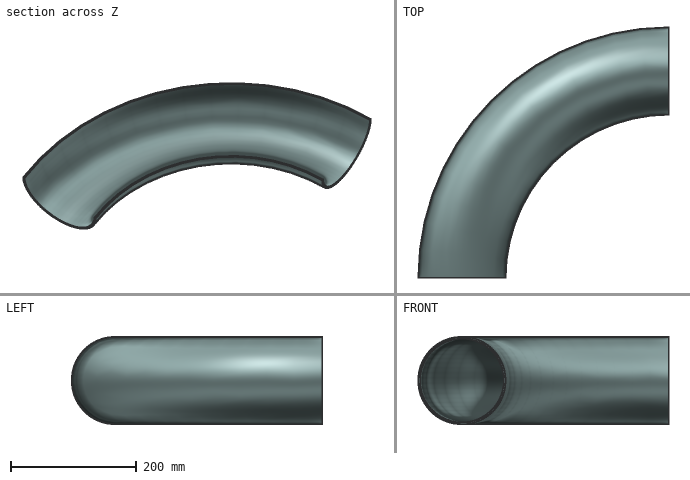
import cadquery as cq

outer_diameter = 139.7
wall_thickness = 3.0
bend_radius = 330.0
bend_angle = 90.0

inner_diameter = outer_diameter - 2 * wall_thickness


def pipe_elbow():
    """Sweep the pipe ring about the Z axis, from the end facing -Y to the end facing +X."""
    ring = (
        cq.Workplane("XZ")
        .center(-bend_radius, 0)
        .circle(outer_diameter / 2)
        .circle(inner_diameter / 2)
    )
    axis_start = (bend_radius, 0)
    axis_end = (bend_radius, -1)
    return ring.revolve(bend_angle, axis_start, axis_end)


result = pipe_elbow()